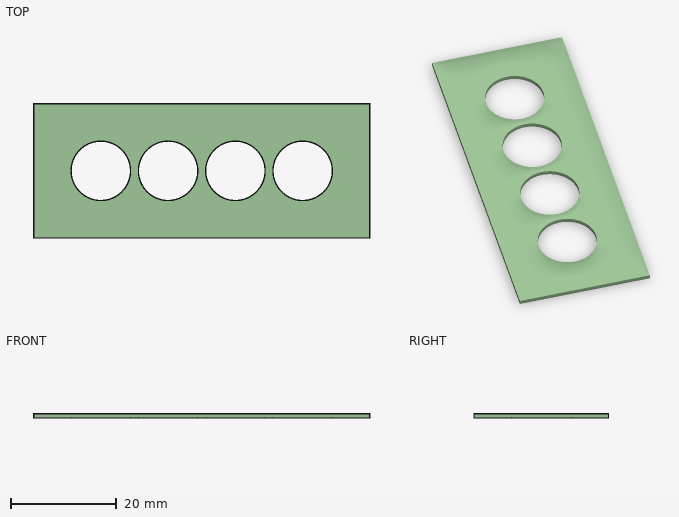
import cadquery as cq

length = 63.5
width = 25.4
thickness = 0.8

hole_count = 4
hole_diameter = 11.2
hole_pitch = length / (hole_count + 1)

plate = cq.Workplane("XY").box(length, width, thickness)

result = (
    plate.faces(">Z")
    .workplane()
    .rarray(hole_pitch, width, hole_count, 1)
    .hole(hole_diameter)
)